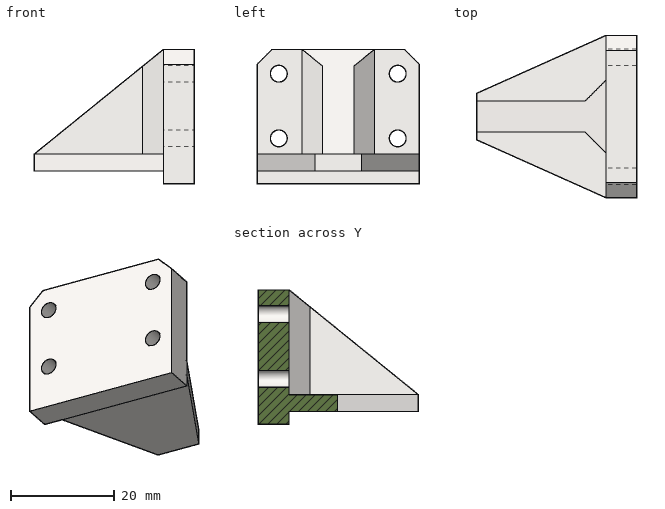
import cadquery as cq

length = 31.0
width = 31.4
height = 26.0
plate_thickness = 6.0
corner_chamfer = 2.92

shelf_bottom = 2.48
shelf_thickness = 3.25
tip_width = 9.0

rib_width = 6.0
flare = 4.02

hole_diameter = 3.2
hole_spacing_y = 23.0
hole_spacing_z = 12.5
upper_hole_drop = 4.7

plate_face = length - plate_thickness
shelf_top = shelf_bottom + shelf_thickness


def make_plate():
    blank = cq.Workplane("XY").box(plate_thickness, width, height, centered=(False, True, False))
    chamfered = blank.faces(">Z").edges("|X").chamfer(corner_chamfer)
    return chamfered.translate((plate_face, 0, 0))


def make_shelf():
    outline = [
        (0, -tip_width / 2),
        (plate_face, -width / 2),
        (plate_face, width / 2),
        (0, tip_width / 2),
    ]
    return cq.Workplane("XY", origin=(0, 0, shelf_bottom)).polyline(outline).close().extrude(shelf_thickness)


def make_rib():
    half_rib = rib_width / 2
    half_root = half_rib + flare
    footprint = [
        (0, -half_rib),
        (plate_face - flare, -half_rib),
        (plate_face, -half_root),
        (plate_face, half_root),
        (plate_face - flare, half_rib),
        (0, half_rib),
    ]
    column = cq.Workplane("XY", origin=(0, 0, shelf_top)).polyline(footprint).close().extrude(height - shelf_top)
    side_profile = [(0, shelf_top), (plate_face, shelf_top), (plate_face, height)]
    wedge = cq.Workplane("XZ").polyline(side_profile).close().extrude(half_root, both=True)
    return column.intersect(wedge)


def make_holes():
    hole_center_z = height - upper_hole_drop - hole_spacing_z / 2
    return (
        cq.Workplane("YZ", origin=(plate_face, 0, hole_center_z))
        .rarray(hole_spacing_y, hole_spacing_z, 2, 2)
        .circle(hole_diameter / 2)
        .extrude(plate_thickness)
    )


result = make_plate().union(make_shelf()).union(make_rib()).cut(make_holes())